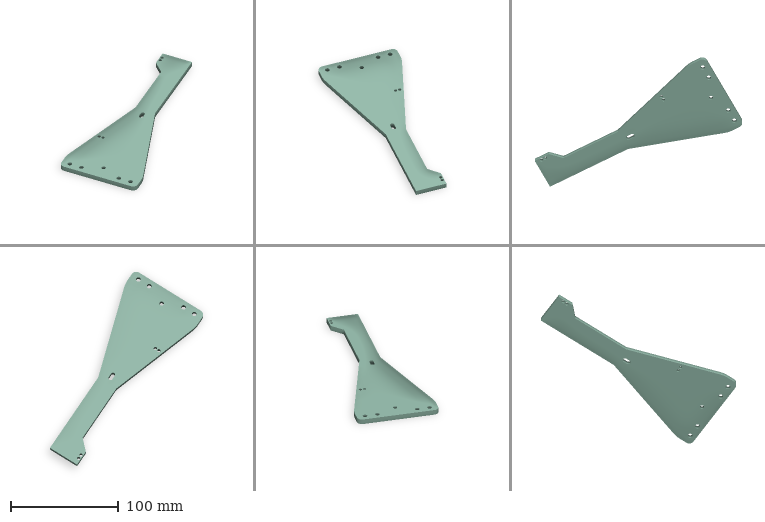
import cadquery as cq

length = 189.0
width = 78.0
thickness = 5.0
half_width = width / 2

base_side_height = 16.0
base_corner_radius = 5.0
shoulder_radius = 23.8
taper_top = 106.8
neck_half_width = 10.0
head_overhang = 10.0
head_side_height = 15.0
head_slope_height = 10.0
head_left = -neck_half_width - head_overhang
head_side_bottom = length - head_side_height
head_slope_bottom = head_side_bottom - head_slope_height

mount_diameter = 4.3
mount_edge_distance = 6.0
mount_offsets = (19.0, 31.0)

pivot_diameter = 4.0
pivot_height = 14.0
slot_center_height = 99.0
slot_length = 2 * pivot_diameter

small_diameter = 3.0
small_pitch = 4.0
side_pair_x = -21.0
side_pair_height = 54.0
head_pair_x = -18.0
head_pair_top_distance = 8.0
head_pair_height = length - head_pair_top_distance


def make_plate():
    """Extrude the outline and round the four corners of the base."""
    outline = [
        (-half_width, 0),
        (half_width, 0),
        (half_width, base_side_height),
        (neck_half_width, taper_top),
        (neck_half_width, length),
        (head_left, length),
        (head_left, head_side_bottom),
        (-neck_half_width, head_slope_bottom),
        (-neck_half_width, taper_top),
        (-half_width, base_side_height),
    ]
    plate = cq.Workplane("XY").polyline(outline).close().extrude(thickness)
    for corner_height, radius in ((0, base_corner_radius), (base_side_height, shoulder_radius)):
        for x in (-half_width, half_width):
            corner = cq.selectors.NearestToPointSelector((x, corner_height, thickness / 2))
            plate = plate.edges("|Z").edges(corner).fillet(radius)
    return plate


def make_pins(points, diameter):
    """Cylinders through the plate thickness, used to cut round holes."""
    return cq.Workplane("XY").pushPoints(points).circle(diameter / 2).extrude(thickness)


mount_points = [(side * x, mount_edge_distance) for side in (-1, 1) for x in mount_offsets]
half_pitch = small_pitch / 2
side_pair = [(side_pair_x + shift, side_pair_height) for shift in (-half_pitch, half_pitch)]
head_pair = [(head_pair_x, head_pair_height + shift) for shift in (-half_pitch, half_pitch)]

slot = (
    cq.Workplane("XY")
    .center(0, slot_center_height)
    .slot2D(slot_length, pivot_diameter, 90)
    .extrude(thickness)
)

result = (
    make_plate()
    .cut(make_pins(mount_points, mount_diameter))
    .cut(make_pins([(0, pivot_height)], pivot_diameter))
    .cut(make_pins(side_pair + head_pair, small_diameter))
    .cut(slot)
)